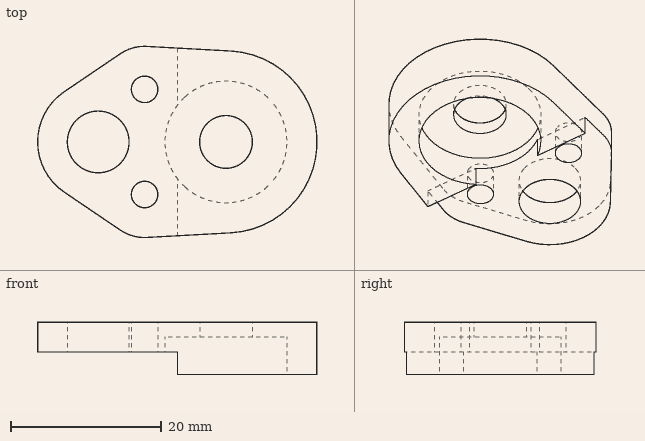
import cadquery as cq
import math

length = 37.25
width = 25.5
thickness = 7.0
plate_thickness = 4.0
large_end_radius = 12.15
small_end_radius = 8.1
pivot_hole_diameter = 8.2
shaft_hole_diameter = 7.0
screw_hole_diameter = 3.5
screw_offset_x = 6.2
screw_offset_y = 7.0
recess_radius = 8.12
recess_roof_thickness = 2.0
step_from_end = 18.62

shoulder_radius = width / 2 - screw_offset_y
shaft_x = length - small_end_radius - large_end_radius
step_x = step_from_end - small_end_radius
underside_z = thickness - plate_thickness
recess_depth = thickness - recess_roof_thickness


def left_tangent(start, start_radius, end, end_radius):
    """Points where the outer tangent left of the start-to-end direction touches two circles."""
    dx = end[0] - start[0]
    dy = end[1] - start[1]
    direction = math.atan2(dy, dx)
    normal = direction + math.acos((start_radius - end_radius) / math.hypot(dx, dy))
    return (
        (start[0] + start_radius * math.cos(normal), start[1] + start_radius * math.sin(normal)),
        (end[0] + end_radius * math.cos(normal), end[1] + end_radius * math.sin(normal)),
    )


def mirrored(point):
    return (point[0], -point[1])


def outline():
    """Round ends and shoulders joined by straight flanks, symmetric about the X axis."""
    pivot = (0, 0)
    shoulder = (screw_offset_x, screw_offset_y)
    shaft = (shaft_x, 0)
    small_end, shoulder_start = left_tangent(pivot, small_end_radius, shoulder, shoulder_radius)

    shoulder_end, large_end = left_tangent((screw_offset_x, width / 2), 0, shaft, large_end_radius)

    normal_x = shoulder_start[0] + shoulder_end[0] - 2 * shoulder[0]
    normal_y = shoulder_start[1] + shoulder_end[1] - 2 * shoulder[1]
    reach = shoulder_radius / math.hypot(normal_x, normal_y)
    shoulder_mid = (shoulder[0] + reach * normal_x, shoulder[1] + reach * normal_y)

    return (
        cq.Workplane("XY")
        .moveTo(*small_end)
        .lineTo(*shoulder_start)
        .threePointArc(shoulder_mid, shoulder_end)
        .lineTo(*large_end)
        .threePointArc((shaft_x + large_end_radius, 0), mirrored(large_end))
        .lineTo(*mirrored(shoulder_end))
        .threePointArc(mirrored(shoulder_mid), mirrored(shoulder_start))
        .lineTo(*mirrored(small_end))
        .threePointArc((-small_end_radius, 0), small_end)
        .close()
    )


def through_hole(x, y, diameter):
    return cq.Workplane("XY").center(x, y).circle(diameter / 2).extrude(thickness)


body = outline().extrude(thickness)

step_cut = cq.Workplane("XY").box(length, length, underside_z, centered=(False, True, False))
body = body.cut(step_cut.translate((step_x - length, 0, 0)))

recess = cq.Workplane("XY").center(shaft_x, 0).circle(recess_radius).extrude(recess_depth)
body = body.cut(recess)

body = body.cut(through_hole(0, 0, pivot_hole_diameter))
body = body.cut(through_hole(shaft_x, 0, shaft_hole_diameter))
for side in (-1, 1):
    body = body.cut(through_hole(screw_offset_x, side * screw_offset_y, screw_hole_diameter))

result = body